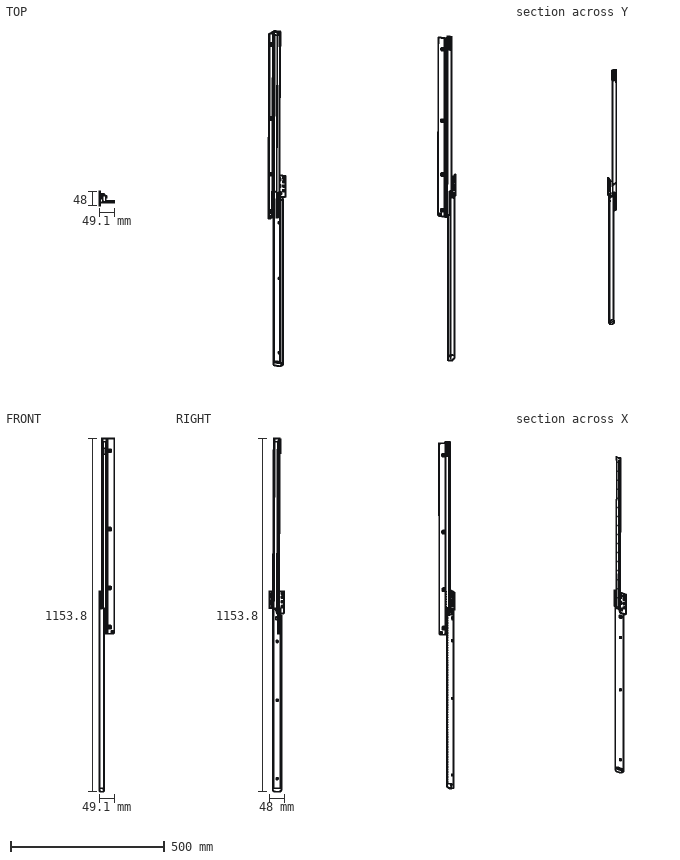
import cadquery as cq

total_width = 49.09
total_height = 1153.76
sheet = 1.8
hole_module = 32.0
lip = 4.0

runner_depth = 15.8
runner_front = -13.8
runner_back = 15.75
runner_bend = 3.0
runner_mid = (runner_front + runner_back) / 2
nose_height = 12.0
nose_radius = 5.5
nose_corner_radius = 9.0
back_wall_height = 575.0
runner_hole_diameter = 5.5
runner_first_hole = 43.0
runner_holes = [runner_first_hole + hole_module * step for step in (0, 8, 14)]
locating_hole_diameter = 10.0
locating_hole_height = 566.5
locating_hole_depth = 1.0

bracket_half_width = 24.0
bracket_top = 655.5
bracket_thickness = 2.5
bracket_bottom = 582.0
bracket_step = 599.0
bracket_chamfer = 3.0
runner_height = bracket_step
tab_reach = 7.4
window_centres = (641.0, 618.0)
window_width = 6.0
window_height = 14.0
tab_height = 18.0
frame_height = 21.0
frame_width = 11.5
frame_y = -10.25
frame_depth = 0.6
window_y = -9.0

fixed_face = 8.0
fixed_web = 10.8
fixed_end = 23.5
fixed_bend = 3.25
fixed_width = 20.9
fixed_height = 638.0
fixed_front = -10.75
fixed_back = fixed_front + fixed_width
strip_front = 2.3
end_stop_height = 10.0
fixed_lean = 0.275
flange_thickness = 3.4
flange_setback = 0.4
neck_end = 28.3
neck_thickness = 2.2
flange_chamfer = 4.0
flange_hole_x = 34.0
flange_hole_diameter = 6.0
flange_sink_diameter = 11.0
flange_sink_depth = 2.0
flange_end_margin = 40.0
flange_hole_drops = [flange_end_margin + hole_module * step for step in (0, 8, 14, 18)]
fixed_bottom = total_height - fixed_height
overlap_clearance = 0.3


def block(x0, x1, y0, y1, z0, z1):
    """Box between two opposite corners."""
    return cq.Workplane("XY").box(x1 - x0, y1 - y0, z1 - z0, centered=False).translate((x0, y0, z0))


def drill_x(diameter, y, z, x0, x1):
    """Cylinder along X."""
    return cq.Workplane("YZ").center(y, z).circle(diameter / 2).extrude(x1 - x0).translate((x0, 0, 0))


def drill_y(diameter, x, z, y0, y1):
    """Cylinder along +Y."""
    return cq.Workplane("XZ").center(x, z).circle(diameter / 2).extrude(y0 - y1).translate((0, y0, 0))


def make_bracket_plate():
    """Plain outline of the bracket plate."""
    slope_start = 1.0
    slope_end = -6.0
    outline = [
        (bracket_half_width, bracket_top),
        (-bracket_half_width, bracket_top),
        (-bracket_half_width, bracket_step),
        (slope_end, bracket_step),
        (slope_start, bracket_bottom),
        (bracket_half_width - bracket_chamfer, bracket_bottom),
        (bracket_half_width, bracket_bottom + bracket_chamfer),
    ]
    return cq.Workplane("YZ").polyline(outline).close().extrude(bracket_thickness)


def make_bracket(plate):
    edge_hole_diameter = 6.0
    edge_hole_y = 18.0
    body = plate
    edge_hole_heights = (648.0, 635.5, 620.5, 605.0)
    for z in edge_hole_heights:
        body = body.cut(drill_x(edge_hole_diameter, edge_hole_y, z, 0, bracket_thickness))

    slot_y = -18.5
    slot_width = 4.0
    step_hole_y = 0.5
    step_hole_diameter = 11.0
    step_bore_diameter = 6.0
    step_depth = 1.0
    window_left = window_y - window_width / 2
    window_right = window_y + window_width / 2
    frame_left = frame_y - frame_width / 2
    frame_right = frame_y + frame_width / 2
    slot_left = slot_y - slot_width / 2
    slot_right = slot_y + slot_width / 2
    for z in window_centres:
        low = z - window_height / 2
        high = z + window_height / 2
        frame_low = z - frame_height / 2
        frame_high = z + frame_height / 2
        body = body.cut(block(0, frame_depth, frame_left, frame_right, frame_low, frame_high))
        body = body.cut(block(0, bracket_thickness, window_left, window_right, low, high))
        tab_low = z - tab_height / 2
        tab_high = z + tab_height / 2
        body = body.union(block(frame_depth, tab_reach, window_left - sheet, window_left, tab_low, tab_high))
        body = body.cut(block(0, bracket_thickness, slot_left, slot_right, low, high))
        body = body.cut(drill_x(step_hole_diameter, step_hole_y, z, 0, step_depth))
        body = body.cut(drill_x(step_bore_diameter, step_hole_y, z, 0, bracket_thickness))

    screw_y = 4.5
    screw_z = 594.0
    screw_diameter = 5.0
    countersink = 2.0
    body = body.cut(drill_x(screw_diameter, screw_y, screw_z, 0, bracket_thickness))
    cone = cq.Solid.makeCone(
        screw_diameter / 2 + countersink,
        screw_diameter / 2,
        countersink,
        pnt=cq.Vector(0, screw_y, screw_z),
        dir=cq.Vector(1, 0, 0),
    )
    body = body.cut(cq.Workplane(obj=cone))

    notch_width = 3.5
    notch_height = 3.0
    notch = block(
        0,
        bracket_thickness,
        slot_y - notch_width / 2,
        slot_y + notch_width / 2,
        bracket_step,
        bracket_step + notch_height,
    )
    return body.cut(notch)


def make_runner(plate):
    body = block(0, runner_depth, runner_front, runner_back, nose_height, runner_height)
    body = body.edges("|Z").fillet(runner_bend)
    inside_front = runner_front + sheet
    inside_back = runner_back - sheet
    inside = block(sheet, runner_depth - sheet, inside_front, inside_back, nose_height, runner_height)
    body = body.cut(inside.edges("|Z").fillet(runner_bend - sheet))
    mouth_front = runner_front + lip
    mouth_back = runner_back - lip
    mouth_start = runner_depth - sheet
    body = body.cut(block(mouth_start, runner_depth, mouth_front, mouth_back, nose_height, runner_height))

    nose_block = block(0, runner_depth, runner_front, runner_back, 0, nose_height)
    nose = nose_block.edges("|Z").fillet(runner_bend)
    rounded_corners = nose_block.edges("|X and <Z").fillet(nose_corner_radius)
    rounded_sides = nose_block.edges("|Y and <Z").fillet(nose_radius)
    body = body.union(nose.intersect(rounded_corners).intersect(rounded_sides))

    back_cut_start = runner_back - runner_bend
    body = body.cut(block(0, runner_depth, back_cut_start, runner_back, back_wall_height, runner_height))
    body = body.cut(plate)

    for z in runner_holes:
        body = body.cut(drill_x(runner_hole_diameter, runner_mid, z, 0, sheet))
    return body.cut(drill_x(locating_hole_diameter, runner_mid, locating_hole_height, 0, locating_hole_depth))


def make_flange():
    """Mounting flange with its thinner neck towards the channel."""
    face = fixed_front + flange_setback
    plate = block(neck_end, total_width, face, face + flange_thickness, fixed_bottom, total_height)
    plate = plate.edges("|Y and >X and <Z").chamfer(flange_chamfer)
    neck_start = fixed_end - fixed_bend
    neck = block(neck_start, neck_end, face, face + neck_thickness, fixed_bottom, total_height)
    body = plate.union(neck)
    for drop in flange_hole_drops:
        z = total_height - drop
        body = body.cut(drill_y(flange_sink_diameter, flange_hole_x, z, face, face + flange_sink_depth))
        body = body.cut(drill_y(flange_hole_diameter, flange_hole_x, z, face, face + flange_thickness))

    small_hole_diameter = 5.0
    small_hole_x = 41.5
    small_hole_z = fixed_bottom + 7.5
    return body.cut(
        drill_y(small_hole_diameter, small_hole_x, small_hole_z, face, face + flange_thickness)
    )


def make_end_clip():
    """Raised pad on the +Y wall at the top end, split by a notch."""
    clip_rise = 2.4
    clip_height = 48.0
    clip_x = fixed_face + fixed_bend
    clip_width = 6.0
    notch_drop = 19.0
    notch_height = 4.5
    clip_top = total_height - sheet
    clip = block(
        clip_x, clip_x + clip_width, fixed_back, fixed_back + clip_rise, total_height - clip_height, clip_top
    )
    notch_z = total_height - notch_drop
    notch = block(
        clip_x, clip_x + clip_width, fixed_back, fixed_back + clip_rise, notch_z - notch_height, notch_z
    )
    return clip.cut(notch)


def make_fixed_channel():
    """C-section open towards +X, with a raised strip along the +Y side of its web."""
    body = block(fixed_web, fixed_end, fixed_front, fixed_back, fixed_bottom, total_height)
    body = body.edges("|Z").edges("<Y or >X").fillet(fixed_bend)
    strip = block(fixed_face, fixed_end - fixed_bend, strip_front, fixed_back, fixed_bottom, total_height)
    body = body.union(strip.edges("|Z and <X and >Y").fillet(fixed_bend))

    inside_front = fixed_front + sheet
    inside_back = fixed_back - sheet
    inside_end = fixed_end - sheet
    inside = block(fixed_web + sheet, inside_end, inside_front, inside_back, fixed_bottom, total_height)
    body = body.cut(inside.edges("|Z and >X").fillet(fixed_bend - sheet))
    strip_end = inside_end - fixed_bend
    strip_inside = block(
        fixed_face + sheet, strip_end, strip_front + sheet, inside_back, fixed_bottom, total_height
    )
    body = body.cut(strip_inside.edges("|Z and <X and >Y").fillet(fixed_bend - sheet))

    mouth_front = fixed_front + lip
    mouth_back = fixed_back - lip
    body = body.cut(block(inside_end, fixed_end, mouth_front, mouth_back, fixed_bottom, total_height))

    stop_start = total_height - end_stop_height
    stop = block(fixed_web, inside_end, inside_front, inside_back, stop_start, total_height)
    return body.union(stop.edges("|Z and >X").fillet(fixed_bend - sheet))


def make_fixed_rail():
    body = make_fixed_channel()
    body = body.union(make_flange()).union(make_end_clip())

    dent_depth = 0.5
    dent_low = total_height - 51.0
    dent_high = total_height - 32.0
    body = body.cut(
        block(
            fixed_web + fixed_bend,
            fixed_end - fixed_bend,
            fixed_front,
            fixed_front + dent_depth,
            dent_low,
            dent_high,
        )
    )

    body = body.rotate((0, fixed_front, total_height), (1, fixed_front, total_height), -fixed_lean)
    runner_space = block(
        0,
        runner_depth + overlap_clearance,
        -bracket_half_width,
        bracket_half_width,
        0,
        runner_height + overlap_clearance,
    )
    return body.cut(runner_space)


bracket_plate = make_bracket_plate()
bracket = make_bracket(bracket_plate)
runner = make_runner(bracket_plate)
fixed_rail = make_fixed_rail()

result = cq.Compound.makeCompound([bracket.val(), runner.val(), fixed_rail.val()])